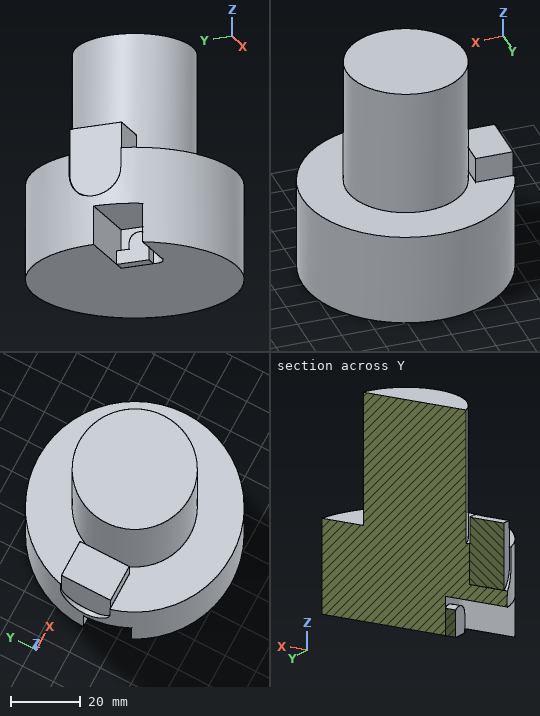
import cadquery as cq

base_diameter = 63.0
base_height = 29.0
shaft_diameter = 36.0
total_height = 69.0
base_radius = base_diameter / 2

key_width = 16.0
key_bottom = 15.0
key_top = 37.0
key_outer_x = -29.95
key_inner_x = -18.5

slot_width = 13.9
slot_height = 11.8
slot_end_x = -10.35
slot_corner_radius = 2.55

stop_length = 3.45
foot_height = 4.15
foot_width = 3.85
post_width = 6.15
post_height = 9.05


def x_extrusion(profile, start_x, end_x):
    """Extrude a closed YZ profile from start_x to end_x."""
    return profile.extrude(end_x - start_x).translate((start_x, 0, 0))


def make_key_shape(outer_x):
    """Key outline, running from outer_x to the key's inner face."""
    half_width = key_width / 2
    arc_center_z = key_bottom + half_width
    profile = (
        cq.Workplane("YZ")
        .moveTo(-half_width, key_top)
        .lineTo(-half_width, arc_center_z)
        .threePointArc((0, key_bottom), (half_width, arc_center_z))
        .lineTo(half_width, key_top)
        .close()
    )
    return x_extrusion(profile, outer_x, key_inner_x)


def make_slot_cutter():
    """Slot volume with one rounded vertical corner at its inner end."""
    return (
        cq.Workplane("XY")
        .moveTo(-base_radius, 0)
        .lineTo(slot_end_x, 0)
        .lineTo(slot_end_x, slot_corner_radius - slot_width)
        .radiusArc((slot_end_x - slot_corner_radius, -slot_width), slot_corner_radius)
        .lineTo(-base_radius, -slot_width)
        .close()
        .extrude(slot_height)
    )


def make_housing():
    base = cq.Workplane("XY").circle(base_radius).extrude(base_height)
    shaft = cq.Workplane("XY").circle(shaft_diameter / 2).extrude(total_height)
    key_recess = make_key_shape(-base_radius)
    return base.union(shaft).cut(key_recess).cut(make_slot_cutter())


def make_stop():
    post_radius = post_width / 2
    post_inner_y = -foot_width
    post_outer_y = post_inner_y - post_width
    shoulder_z = post_height - post_radius
    profile = (
        cq.Workplane("YZ")
        .moveTo(0, 0)
        .lineTo(0, foot_height)
        .lineTo(post_inner_y, foot_height)
        .lineTo(post_inner_y, shoulder_z)
        .threePointArc((post_inner_y - post_radius, post_height), (post_outer_y, shoulder_z))
        .lineTo(post_outer_y, 0)
        .close()
    )
    return x_extrusion(profile, slot_end_x - stop_length, slot_end_x)


housing = make_housing()
key = make_key_shape(key_outer_x)
stop = make_stop()

result = cq.Compound.makeCompound([housing.val(), key.val(), stop.val()])